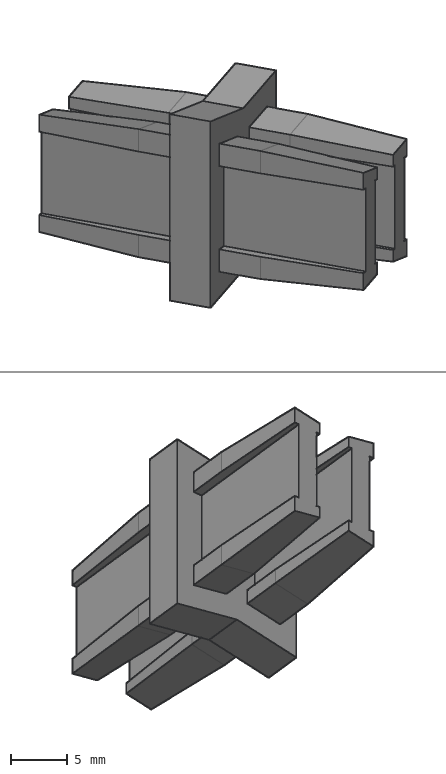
import cadquery as cq
import math

length = 32.0
plate_thickness = 4.0
plate_width = 13.5
plate_height = 17.9

slope = math.tan(math.radians(10.0))

blade_spacing = 6.0
web_thickness = 2.0
web_height = 8.0
flange_inner_y = 1.2
flange_outer_y = 4.9
flange_outer_z = 6.15
straight_half_length = 6.0
taper_angle = 2.5

taper_length = length / 2 - straight_half_length
clearance_width = plate_width


def make_plate():
    """Central plate with a shallow V notch in its top and bottom edges."""
    half_width = plate_width / 2
    edge_z = plate_height / 2
    notch_z = edge_z - half_width * slope
    outline = [
        (-half_width, -edge_z),
        (0, -notch_z),
        (half_width, -edge_z),
        (half_width, edge_z),
        (0, notch_z),
        (-half_width, edge_z),
    ]
    return (
        cq.Workplane("YZ")
        .workplane(offset=-plate_thickness / 2)
        .polyline(outline)
        .close()
        .extrude(plate_thickness)
    )


def flange_outline(offset):
    """Trapezoid around both flanges of the +Y blade, in the plane x = offset."""
    inner_z = flange_outer_z - (flange_outer_y - flange_inner_y) * slope
    corners = [
        (flange_inner_y, -inner_z),
        (flange_outer_y, -flange_outer_z),
        (flange_outer_y, flange_outer_z),
        (flange_inner_y, inner_z),
    ]
    return cq.Workplane("YZ").workplane(offset=offset).polyline(corners).close()


def make_blade():
    """The +Y blade: straight in the middle, with flanges tapering to both ends."""
    straight = flange_outline(-straight_half_length).extrude(2 * straight_half_length)
    tip = flange_outline(straight_half_length).extrude(taper_length, taper=taper_angle)
    body = straight.union(tip).union(tip.mirror("YZ"))
    flanges = body.cut(cq.Workplane("XY").box(length, clearance_width, web_height))
    web = (
        cq.Workplane("XY")
        .center(0, blade_spacing / 2)
        .box(length, web_thickness, web_height)
    )
    return flanges.union(web)


blade = make_blade()
result = make_plate().union(blade).union(blade.mirror("XZ"))